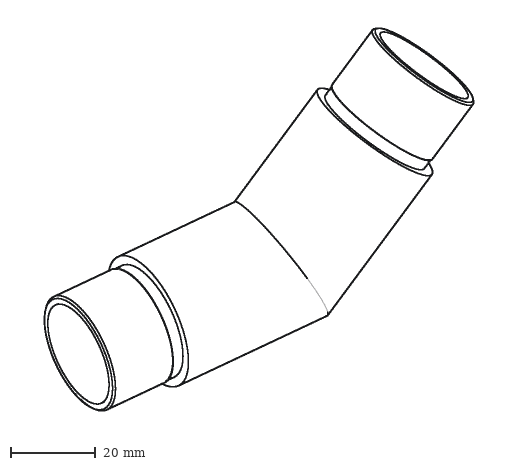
import cadquery as cq
import math

bend_angle = 45.0
bend = math.radians(bend_angle)

overall_length = 109.2

body_diameter = 33.7
spigot_diameter = 29.6
neck_diameter = 29.1
bore_diameter = 25.7

chamfer = 0.5

neck_length = 3.0
spigot_length = 17.0

rim_radius = spigot_diameter / 2 - chamfer
leg_length = (overall_length - rim_radius * math.sin(bend)) / (1 + math.cos(bend))
neck_end = leg_length - spigot_length
body_length = neck_end - neck_length

mitre_reach = body_diameter
mitre_shift = mitre_reach * math.tan(bend / 2)


def make_leg():
    """Hollow leg along -Y, with its inner end cut on the mitre plane."""
    body_radius = body_diameter / 2
    spigot_radius = spigot_diameter / 2
    neck_radius = neck_diameter / 2
    bore_radius = bore_diameter / 2

    half_section = [
        (bore_radius, mitre_shift),
        (body_radius, mitre_shift),
        (body_radius, -body_length),
        (neck_radius, -body_length),
        (neck_radius, -neck_end),
        (spigot_radius, -neck_end),
        (spigot_radius, -leg_length + chamfer),
        (rim_radius, -leg_length),
        (bore_radius, -leg_length),
    ]
    tube = cq.Workplane("XY").polyline(half_section).close().revolve(360, (0, 0), (0, 1))

    keep_region = (
        cq.Workplane("YZ")
        .polyline([
            (-leg_length, -mitre_reach),
            (mitre_shift, -mitre_reach),
            (-mitre_shift, mitre_reach),
            (-leg_length, mitre_reach),
        ])
        .close()
        .extrude(body_diameter, both=True)
    )
    return tube.intersect(keep_region)


level_leg = make_leg()
raised_leg = level_leg.mirror("XZ").rotate((0, 0, 0), (1, 0, 0), bend_angle)
result = level_leg.union(raised_leg)